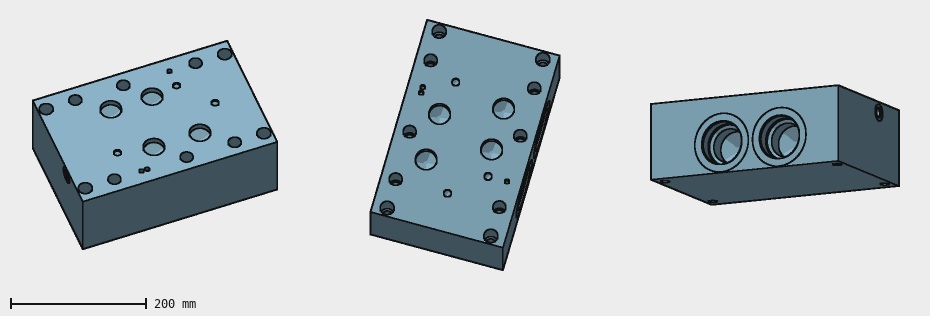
import cadquery as cq
import math

width = 203.3
length = 308.0
height = 114.3
mid_x = width / 2
mid_y = length / 2

drill_point_angle = 118.0

mount_half_pitch_x = 79.5
mount_half_pitch_y = 141.5
mount_hole_diameter = 13.5
mount_bore_diameter = 20.5
mount_bore_depth = 37.0

bolt_half_pitch_x = mount_half_pitch_x
bolt_outer_offset_y = 95.2
bolt_inner_offset_y = 19.0
bolt_thread_diameter = 19.0
bolt_drill_diameter = 16.5
bolt_thread_depth = 37.0
bolt_drill_depth = 43.0

flow_diameter = 31.7
flow_depth = 9.5
flow_left_x = 57.3
flow_right_x = 146.0
flow_left_y = (166.5, 101.3)
flow_right_y = (208.0, 135.0)

pilot_diameter = 11.0
pilot_depth = 3.0
front_pilot_x = 136.5
front_pilot_y = 81.0
rear_pilot_x = 51.0
pin_diameter = 7.0
pin_depth = 7.7
pin_pair_y = (110.5, 101.5)

work_port_y = (192.0, 97.0)
work_port_z = 45.3
work_spotface_diameter = 88.0
work_mouth_diameter = 65.5
work_seat_diameter = 64.0
work_thread_diameter = 63.5
work_tap_diameter = 61.5
work_drill_diameter = 50.8
work_spotface_depth = 0.3
work_seat_depth = 3.5
work_thread_depth = 19.5
work_tap_depth = 22.8
work_drill_depth = 49.3

side_pilot_z = 98.2
side_spotface_diameter = 25.0
side_mouth_diameter = 15.7
side_seat_diameter = 14.5
side_thread_diameter = 14.2
side_drill_diameter = 12.3
side_spotface_depth = 0.3
side_seat_depth = 2.5
side_thread_depth = 12.3
side_drill_depth = 18.5


def drill_cone_length(diameter):
    return diameter / 2 / math.tan(math.radians(drill_point_angle / 2))


def stepped_cutter(steps):
    """Cutter hanging below the XY plane, through (diameter, depth) steps to a drill point."""
    profile = [(diameter / 2, -depth) for diameter, depth in steps]
    last_diameter, last_depth = steps[-1]
    tip_z = -last_depth - drill_cone_length(last_diameter)
    outline = [(0, 0)] + profile + [(0, tip_z)]
    return cq.Workplane("XZ").polyline(outline).close().revolve(360, (0, 0, 0), (0, 1, 0))


def drilled_cutter(diameter, depth):
    return stepped_cutter([(diameter, 0), (diameter, depth)])


def cut_top(body, cutter, points):
    for x, y in points:
        body = body.cut(cutter.translate((x, y, height)))
    return body


result = cq.Workplane("XY").box(width, length, height, centered=False)

mount_points = [
    (mid_x + side * mount_half_pitch_x, mid_y + end * mount_half_pitch_y)
    for side in (-1, 1)
    for end in (-1, 1)
]
result = (
    result.faces(">Z").workplane(origin=(0, 0, height)).pushPoints(mount_points)
    .cboreHole(mount_hole_diameter, mount_bore_diameter, mount_bore_depth)
)

bolt_points = [
    (mid_x + side * bolt_half_pitch_x, mid_y + offset)
    for side in (-1, 1)
    for offset in (-bolt_outer_offset_y, side * bolt_inner_offset_y, bolt_outer_offset_y)
]
bolt_cutter = stepped_cutter(
    [
        (bolt_thread_diameter, 0),
        (bolt_thread_diameter, bolt_thread_depth),
        (bolt_drill_diameter, bolt_thread_depth),
        (bolt_drill_diameter, bolt_drill_depth),
    ]
)
result = cut_top(result, bolt_cutter, bolt_points)

flow_points = [(flow_left_x, y) for y in flow_left_y] + [(flow_right_x, y) for y in flow_right_y]
result = cut_top(result, drilled_cutter(flow_diameter, flow_depth), flow_points)

pilot_points = [(rear_pilot_x, flow_right_y[0]), (front_pilot_x, front_pilot_y)]
pilot_points.append((mid_x, mid_y + bolt_outer_offset_y))
result = cut_top(result, drilled_cutter(pilot_diameter, pilot_depth), pilot_points)

pin_points = [(mid_x - bolt_half_pitch_x, flow_right_y[0])]
pin_points += [(mid_x + bolt_half_pitch_x, y) for y in pin_pair_y]
result = cut_top(result, drilled_cutter(pin_diameter, pin_depth), pin_points)

work_cone_length = drill_cone_length(work_tap_diameter) - drill_cone_length(work_drill_diameter)
work_cutter = stepped_cutter(
    [
        (work_spotface_diameter, 0),
        (work_spotface_diameter, work_spotface_depth),
        (work_mouth_diameter, work_spotface_depth),
        (work_seat_diameter, work_seat_depth),
        (work_thread_diameter, work_seat_depth),
        (work_thread_diameter, work_thread_depth),
        (work_tap_diameter, work_thread_depth),
        (work_tap_diameter, work_tap_depth),
        (work_drill_diameter, work_tap_depth + work_cone_length),
        (work_drill_diameter, work_drill_depth),
    ]
).rotate((0, 0, 0), (0, 1, 0), -90)
for y in work_port_y:
    result = result.cut(work_cutter.translate((0, y, work_port_z)))

side_cutter = stepped_cutter(
    [
        (side_spotface_diameter, 0),
        (side_spotface_diameter, side_spotface_depth),
        (side_mouth_diameter, side_spotface_depth),
        (side_seat_diameter, side_seat_depth),
        (side_thread_diameter, side_seat_depth),
        (side_thread_diameter, side_thread_depth),
        (side_drill_diameter, side_thread_depth),
        (side_drill_diameter, side_drill_depth),
    ]
).rotate((0, 0, 0), (1, 0, 0), 90)
result = result.cut(side_cutter.translate((front_pilot_x, 0, side_pilot_z)))